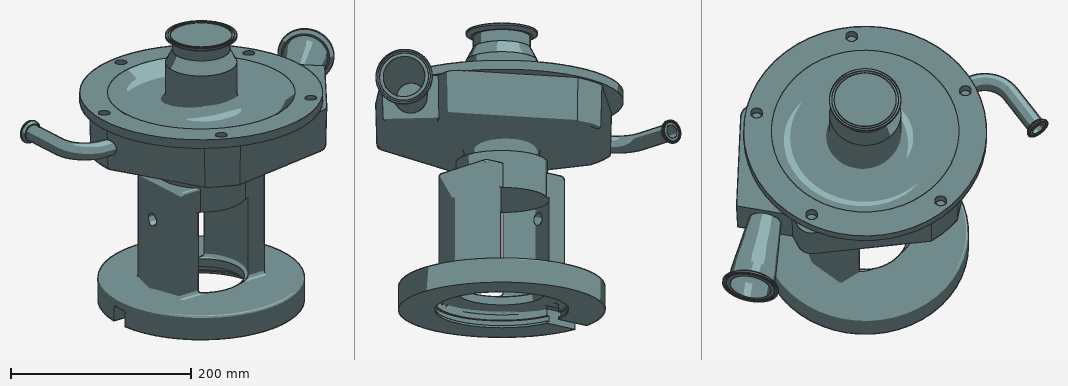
import cadquery as cq
import math

BASE_TOP = 28.5
LEG_TOP = 155.7
HUB_BOTTOM = 127.0
HUB_TOP = 169.5
CASING_BOTTOM = 189.0
FLANGE_BOTTOM = 239.5
FLANGE_TOP = 250.0
PORT_SHOULDER = 286.3
PORT_NECK = 301.0
PORT_TOP = 319.5

BASE_RADIUS = 115.0
BASE_BORE_RADIUS = 48.0
BASE_EDGE_ROUND = 2.5
SPIGOT_RADIUS = 74.5
SPIGOT_DEPTH = 19.0
SPIGOT_ROUND = 4.0
SPIGOT_GROOVE_BOTTOM = 2.5
SPIGOT_GROOVE_TOP = 8.5
SPIGOT_GROOVE_DEPTH = 3.5
NOTCH_WIDTH = 20.2
NOTCH_HEIGHT = SPIGOT_DEPTH
NOTCH_CORNER_CHAMFER = 2.5
HUB_RADIUS = 51.0
LEG_BORE_RADIUS = 53.0
LEG_HALF_WIDTH = 39.85
LEG_SIDE_Y = 58.2
LEG_RIDGE_Y = 70.2
LEG_SLOPE_END = 114.0
LEG_SIDE_ROUND = 2.5
LEG_TOP_ROUND = 6.5
LEG_FOOT_ROUND = 4.5
RIDGE_FLAT_WIDTH = 5.0
RIDGE_HOLE_RADIUS = 7.23

NECK_RADIUS = 41.7
NECK_FLARE = 10.0
FLANGE_RADIUS = 134.85
SIDE_COUNT = 5
SIDE_PITCH = 360 / SIDE_COUNT
FIRST_CORNER_ANGLE = 45
SIDE_DISTANCE = 117.0
ROUND_CORNER_RADIUS = 131.5
CORNER_RADIUS = SIDE_DISTANCE / math.cos(math.radians(SIDE_PITCH / 2))
CORNER_ANGLES = [FIRST_CORNER_ANGLE + index * SIDE_PITCH for index in range(SIDE_COUNT)]
TIGHT_CORNERS = 2
TIGHT_CORNER_ROUND = 17.0
CASING_DRAFT = 1.5
CASING_EDGE_ROUND = 3.7
BOLT_CIRCLE_RADIUS = 122.5
BOLT_HOLE_RADIUS = 6.4

RECESS_RADIUS = 104.0
RECESS_WALL_FOOT = 93.5
RECESS_FLOOR_RADIUS = 83.0
RECESS_WALL_ANGLE = 45
RECESS_DEPTH = 14.0
PORT_RADIUS = 39.5
PORT_NECK_RADIUS = 32.0

DISCHARGE_ANGLE = 135
DISCHARGE_OFFSET = 91.0
DISCHARGE_Z = 215.0
DISCHARGE_FACE = 115.5
DISCHARGE_SEAT = 4.0
DISCHARGE_CONE_END = 183.5
DISCHARGE_END = 201.0
DISCHARGE_ROOT_RADIUS = 18.0
DISCHARGE_PIPE_RADIUS = 25.0
DISCHARGE_FLANGE_RADIUS = 31.5
DISCHARGE_WALL = 2.0
BLOCK_CORNER_OFFSET = 123.0
BLOCK_INNER_OFFSET = 58.0
BLOCK_WALL_ANGLE = 53.5

DRAIN_Z = 217.0
DRAIN_PIPE_RADIUS = 9.5
DRAIN_BORE_RADIUS = 7.5
DRAIN_FLANGE_RADIUS = 13.0
DRAIN_BEND_RADIUS = 34.5
DRAIN_BEND_START = -136.7
DRAIN_ROOT = -111.5
DRAIN_END = -89.2

CLAMP_RIM = 2.0
CLAMP_THICKNESS = 5.5
GROOVE_DEPTH = 1.0


def polar(radius, angle):
    """Point at a radius and an angle in degrees."""
    return radius * math.cos(math.radians(angle)), radius * math.sin(math.radians(angle))


def ring(outer_radius, inner_radius, bottom, top):
    return cq.Workplane("XY").workplane(offset=bottom).circle(outer_radius).circle(inner_radius).extrude(top - bottom)


def revolve(points):
    """Turn a (radius, height) outline about the Z axis."""
    return cq.Workplane("XZ").polyline(points).close().revolve(360, (0, 0), (0, 1))


def clamp_flange(rim_radius, pipe_radius, end):
    """Clamp flange with a tapered back and a sealing groove in its face at height end."""
    back = end - CLAMP_THICKNESS
    flange = revolve([
        (0, back),
        (pipe_radius, back),
        (pipe_radius + 0.3 * (rim_radius - pipe_radius), back),
        (rim_radius, end - CLAMP_RIM),
        (rim_radius, end),
        (0, end),
    ])
    land = (rim_radius - pipe_radius) / 3
    return flange.cut(ring(rim_radius - land, pipe_radius + land, end - GROOVE_DEPTH, end))


def make_base():
    """Round base, hollow below, with a groove in the hollow and a notch through its -Y wall."""
    base = cq.Workplane("XY").circle(BASE_RADIUS).extrude(BASE_TOP).faces(">Z").edges().fillet(BASE_EDGE_ROUND)
    spigot = cq.Workplane("XY").circle(SPIGOT_RADIUS).extrude(SPIGOT_DEPTH).faces(">Z").edges().fillet(SPIGOT_ROUND)
    groove = ring(
        SPIGOT_RADIUS + SPIGOT_GROOVE_DEPTH, SPIGOT_RADIUS - SPIGOT_ROUND, SPIGOT_GROOVE_BOTTOM, SPIGOT_GROOVE_TOP
    )
    notch = (
        cq.Workplane("XY").center(0, -BASE_RADIUS / 2)
        .box(NOTCH_WIDTH, BASE_RADIUS, NOTCH_HEIGHT, centered=(True, True, False))
        .faces(">Z").edges("|Y").chamfer(NOTCH_CORNER_CHAMFER)
    )
    return base.cut(spigot).cut(groove).cut(notch)


def make_leg():
    """Leg on the -Y side: ridged outer face, sloping back above the ridge."""
    ridge_lean = (LEG_RIDGE_Y - LEG_SIDE_Y) / LEG_HALF_WIDTH
    ridge_half = RIDGE_FLAT_WIDTH / 2
    flat_y = LEG_RIDGE_Y - ridge_lean * ridge_half
    leg = (
        cq.Workplane("XY").workplane(offset=BASE_TOP)
        .polyline([
            (-LEG_HALF_WIDTH, 0),
            (-LEG_HALF_WIDTH, -LEG_SIDE_Y),
            (-ridge_half, -flat_y),
            (ridge_half, -flat_y),
            (LEG_HALF_WIDTH, -LEG_SIDE_Y),
            (LEG_HALF_WIDTH, 0),
        ]).close()
        .extrude(LEG_TOP - BASE_TOP)
    )
    slope_top_y = LEG_RIDGE_Y - ridge_lean * (LEG_TOP - LEG_SLOPE_END)
    slope = (
        cq.Workplane("YZ")
        .polyline([
            (-LEG_RIDGE_Y, LEG_SLOPE_END),
            (-slope_top_y, LEG_TOP),
            (-LEG_RIDGE_Y, LEG_TOP),
        ]).close()
        .extrude(LEG_HALF_WIDTH, both=True)
    )
    leg = leg.cut(slope)
    leg = leg.edges(cq.selectors.BoxSelector(
        (-2 * LEG_HALF_WIDTH, -LEG_SIDE_Y - 4, BASE_TOP + 4),
        (2 * LEG_HALF_WIDTH, -LEG_SIDE_Y + 4, LEG_TOP - 4),
    )).edges("|Z").fillet(LEG_SIDE_ROUND)
    return leg.faces(">Z").edges("<Y").fillet(LEG_TOP_ROUND).faces(">Z").edges("|Y").fillet(LEG_SIDE_ROUND)


def make_stand():
    front_leg = make_leg()
    stand = make_base().union(front_leg).union(front_leg.mirror("XZ"))
    stand = stand.cut(
        cq.Workplane("XY").workplane(offset=BASE_TOP).circle(LEG_BORE_RADIUS).extrude(HUB_BOTTOM - BASE_TOP)
    )
    foot_edges = cq.selectors.BoxSelector(
        (-LEG_HALF_WIDTH - 0.5, -LEG_RIDGE_Y, BASE_TOP - 0.5),
        (LEG_HALF_WIDTH + 0.5, LEG_RIDGE_Y, BASE_TOP + 0.5),
    )
    stand = stand.edges(foot_edges).fillet(LEG_FOOT_ROUND)
    stand = stand.cut(cq.Workplane("XY").circle(BASE_BORE_RADIUS).extrude(BASE_TOP))
    ridge_hole = (
        cq.Workplane("XZ").center(0, LEG_SLOPE_END).circle(RIDGE_HOLE_RADIUS).extrude(LEG_RIDGE_Y)
    )
    hub = cq.Workplane("XY").workplane(offset=HUB_BOTTOM).circle(HUB_RADIUS).extrude(HUB_TOP - HUB_BOTTOM)
    return stand.cut(ridge_hole).union(hub)


def make_casing():
    """Drafted five-sided casing, its first two corners tight and the other three cut back round."""
    casing = (
        cq.Workplane("XY").workplane(offset=FLANGE_BOTTOM)
        .polyline([polar(CORNER_RADIUS, angle) for angle in CORNER_ANGLES]).close()
        .extrude(CASING_BOTTOM - FLANGE_BOTTOM, taper=CASING_DRAFT)
    )
    for angle in CORNER_ANGLES[:TIGHT_CORNERS]:
        middle_height = (CASING_BOTTOM + FLANGE_BOTTOM) / 2
        corner = cq.selectors.NearestToPointSelector((*polar(CORNER_RADIUS, angle), middle_height))
        casing = casing.edges(corner).fillet(TIGHT_CORNER_ROUND)
    casing = casing.faces("<Z").edges().fillet(CASING_EDGE_ROUND)
    return casing.cut(make_corner_trim()).union(make_outlet_block())


def make_corner_trim():
    """Ring sector around the wide corners, leaving them on a drafted cone with a rounded lower edge."""
    draft = math.radians(CASING_DRAFT)
    bottom_radius = ROUND_CORNER_RADIUS - (FLANGE_BOTTOM - CASING_BOTTOM) * math.tan(draft)
    start_angle = CORNER_ANGLES[TIGHT_CORNERS] - SIDE_PITCH / 2
    trim_angle = (SIDE_COUNT - TIGHT_CORNERS) * SIDE_PITCH
    trim = (
        cq.Workplane("XZ")
        .moveTo(ROUND_CORNER_RADIUS, FLANGE_BOTTOM)
        .lineTo(bottom_radius + CASING_EDGE_ROUND * math.tan(draft), CASING_BOTTOM + CASING_EDGE_ROUND)
        .radiusArc((bottom_radius - CASING_EDGE_ROUND, CASING_BOTTOM), CASING_EDGE_ROUND)
        .lineTo(CORNER_RADIUS + 4, CASING_BOTTOM)
        .lineTo(CORNER_RADIUS + 4, FLANGE_BOTTOM)
        .close().revolve(trim_angle, (0, 0), (0, 1))
    )
    return trim.rotate((0, 0, 0), (0, 0, 1), start_angle)


def outlet_point(along, offset):
    """Point given by its distance along the discharge direction and its offset beside it."""
    x, y = polar(along, DISCHARGE_ANGLE)
    beside_x, beside_y = polar(offset, DISCHARGE_ANGLE - 90)
    return x + beside_x, y + beside_y


def make_outlet_block():
    """Block between the casing and the discharge pipe, its outer wall tangent to the first corner."""
    round_radius = (SIDE_DISTANCE - TIGHT_CORNER_ROUND) / math.cos(math.radians(SIDE_PITCH / 2))
    centre_x, centre_y = polar(round_radius, FIRST_CORNER_ANGLE)
    touch_x, touch_y = polar(TIGHT_CORNER_ROUND, BLOCK_WALL_ANGLE)
    return (
        cq.Workplane("XY").workplane(offset=FLANGE_BOTTOM)
        .polyline([
            outlet_point(DISCHARGE_FACE, BLOCK_CORNER_OFFSET),
            (centre_x + touch_x, centre_y + touch_y),
            (centre_x, centre_y),
            outlet_point(0, BLOCK_INNER_OFFSET),
            outlet_point(DISCHARGE_FACE, BLOCK_INNER_OFFSET),
        ]).close()
        .extrude(CASING_BOTTOM - FLANGE_BOTTOM, taper=CASING_DRAFT)
        .faces("<Z").edges().fillet(CASING_EDGE_ROUND)
    )


def make_neck():
    """Neck from the hub up to the casing, flaring out below it."""
    return (
        cq.Workplane("XZ")
        .moveTo(0, HUB_TOP)
        .lineTo(NECK_RADIUS, HUB_TOP)
        .lineTo(NECK_RADIUS, CASING_BOTTOM - NECK_FLARE)
        .radiusArc((NECK_RADIUS + NECK_FLARE, CASING_BOTTOM), NECK_FLARE)
        .lineTo(0, CASING_BOTTOM)
        .close().revolve(360, (0, 0), (0, 1))
    )


def make_flange():
    flange = (
        cq.Workplane("XY").workplane(offset=FLANGE_BOTTOM)
        .circle(FLANGE_RADIUS).extrude(FLANGE_TOP - FLANGE_BOTTOM)
    )
    bolts = (
        cq.Workplane("XY").workplane(offset=FLANGE_BOTTOM)
        .polarArray(BOLT_CIRCLE_RADIUS, FIRST_CORNER_ANGLE, 360, SIDE_COUNT)
        .circle(BOLT_HOLE_RADIUS).extrude(FLANGE_TOP - FLANGE_BOTTOM)
    )
    return flange.cut(bolts)


def make_recess():
    """Dished space around the suction port, rounded into its floor on both sides."""
    floor = FLANGE_TOP - RECESS_DEPTH
    wall_angle = math.radians(RECESS_WALL_ANGLE)
    foot_round = (RECESS_WALL_FOOT - RECESS_FLOOR_RADIUS) / math.sin(wall_angle)
    foot_height = foot_round * (1 - math.cos(wall_angle))
    return (
        cq.Workplane("XZ")
        .moveTo(PORT_RADIUS, FLANGE_TOP)
        .radiusArc((PORT_RADIUS + RECESS_DEPTH, floor), -RECESS_DEPTH)
        .lineTo(RECESS_FLOOR_RADIUS, floor)
        .radiusArc((RECESS_WALL_FOOT, floor + foot_height), -foot_round)
        .lineTo(RECESS_RADIUS, FLANGE_TOP)
        .close().revolve(360, (0, 0), (0, 1))
    )


def make_suction_port():
    port = revolve([
        (0, FLANGE_TOP),
        (PORT_RADIUS, FLANGE_TOP),
        (PORT_RADIUS, PORT_SHOULDER),
        (PORT_NECK_RADIUS, PORT_NECK),
        (PORT_NECK_RADIUS, PORT_TOP - CLAMP_THICKNESS),
        (0, PORT_TOP - CLAMP_THICKNESS),
    ])
    return port.union(clamp_flange(PORT_RADIUS, PORT_NECK_RADIUS, PORT_TOP))


def lay_along_discharge(shape):
    laid = shape.rotate((0, 0, 0), (0, 1, 0), 90).rotate((0, 0, 0), (0, 0, 1), DISCHARGE_ANGLE)
    return laid.translate((*outlet_point(0, DISCHARGE_OFFSET), DISCHARGE_Z))


def cone_pipe(wall, end):
    """Solid conical pipe running straight at its wide end, thinner all round by wall."""
    return revolve([
        (0, DISCHARGE_FACE),
        (DISCHARGE_ROOT_RADIUS - wall, DISCHARGE_FACE),
        (DISCHARGE_PIPE_RADIUS - wall, DISCHARGE_CONE_END),
        (DISCHARGE_PIPE_RADIUS - wall, end),
        (0, end),
    ])


def make_discharge():
    pipe = cone_pipe(0, DISCHARGE_END - CLAMP_THICKNESS)
    pipe = pipe.union(clamp_flange(DISCHARGE_FLANGE_RADIUS, DISCHARGE_PIPE_RADIUS, DISCHARGE_END))
    pipe = pipe.cut(cone_pipe(DISCHARGE_WALL, DISCHARGE_END))
    seat = (
        cq.Workplane("XY").workplane(offset=DISCHARGE_FACE)
        .circle(DISCHARGE_ROOT_RADIUS).extrude(-DISCHARGE_SEAT)
    )
    return lay_along_discharge(pipe.union(seat))


def drain_run(radius, end):
    path = (
        cq.Workplane("XY").workplane(offset=DRAIN_Z)
        .moveTo(0, DRAIN_ROOT)
        .lineTo(0, DRAIN_BEND_START)
        .radiusArc((-DRAIN_BEND_RADIUS, DRAIN_BEND_START - DRAIN_BEND_RADIUS), DRAIN_BEND_RADIUS)
        .lineTo(end, DRAIN_BEND_START - DRAIN_BEND_RADIUS)
    )
    return cq.Workplane("XZ", origin=(0, DRAIN_ROOT, DRAIN_Z)).circle(radius).sweep(path)


def make_drain():
    axis_y = DRAIN_BEND_START - DRAIN_BEND_RADIUS
    flange = clamp_flange(DRAIN_FLANGE_RADIUS, DRAIN_PIPE_RADIUS, -DRAIN_END)
    flange = flange.rotate((0, 0, 0), (0, 1, 0), -90).translate((0, axis_y, DRAIN_Z))
    return drain_run(DRAIN_PIPE_RADIUS, DRAIN_END + CLAMP_THICKNESS).union(flange)


body = make_casing().union(make_flange()).cut(make_recess())
body = body.union(make_neck()).union(make_suction_port())
body = body.union(make_discharge()).union(make_drain()).cut(drain_run(DRAIN_BORE_RADIUS, DRAIN_END))
result = make_stand().union(body)